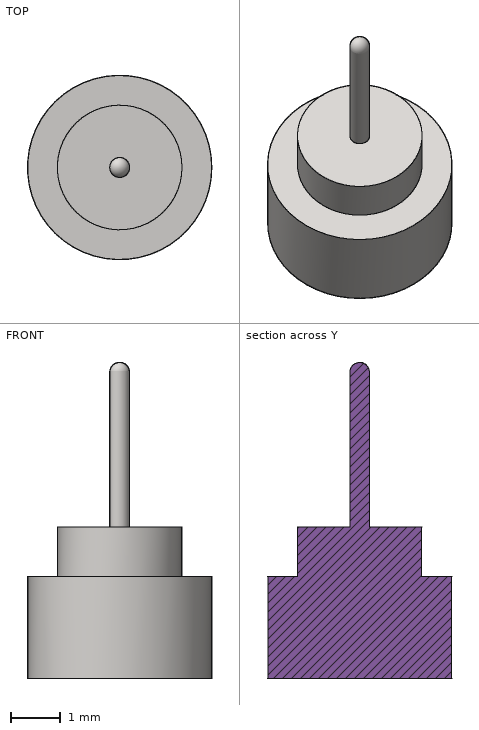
import cadquery as cq

total_height = 6.35
base_diameter = 3.7
base_height = 2.05
collar_diameter = 2.5
collar_height = 1.0
pin_diameter = 0.4
dome_height = 0.185

pin_radius = pin_diameter / 2
collar_top = base_height + collar_height
dome_start = total_height - dome_height
dome_radius = (pin_radius**2 + dome_height**2) / (2 * dome_height)
dome_center = total_height - dome_radius

base = cq.Workplane("XY").circle(base_diameter / 2).extrude(base_height)
collar = (
    cq.Workplane("XY")
    .workplane(offset=base_height)
    .circle(collar_diameter / 2)
    .extrude(collar_height)
)

pin_shaft = (
    cq.Workplane("XY")
    .workplane(offset=collar_top)
    .circle(pin_radius)
    .extrude(dome_start - collar_top)
)
pin_tip = (
    cq.Workplane("XY")
    .workplane(offset=dome_start)
    .circle(pin_radius)
    .extrude(dome_height)
    .intersect(cq.Workplane("XY").sphere(dome_radius).translate((0, 0, dome_center)))
)

result = base.union(collar).union(pin_shaft).union(pin_tip)